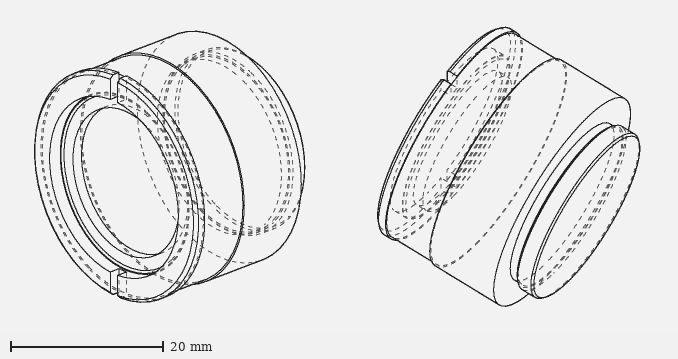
import cadquery as cq

length = 22.75
flange_depth = 1.6
barrel_front = 8.65
barrel_rear = 18.83
ring_front = 20.1

barrel_radius = 15.88
waist_radius = 15.62
neck_radius = 12.03
ring_radius = 12.57
flange_chamfer = 0.48
ring_chamfer = 0.3

bore_radius = 12.48
bore_depth = 1.9
seat_radius = 12.03
seat_lip_radius = 12.35
seat_depth = 2.15
recess_radius = 10.3
recess_depth = 3.68
cone_depth = 0.4

slot_width = 1.43


def turned_body():
    """Solid of revolution about Y, stepped outside and plain at the rear."""
    return (
        cq.Workplane("XY")
        .moveTo(0, 0)
        .lineTo(barrel_radius - flange_chamfer, 0)
        .lineTo(barrel_radius, flange_chamfer)
        .lineTo(barrel_radius, flange_depth)
        .lineTo(waist_radius, flange_depth)
        .lineTo(waist_radius, barrel_front)
        .lineTo(barrel_radius, barrel_front)
        .lineTo(barrel_radius, barrel_rear)
        .lineTo(neck_radius, barrel_rear)
        .lineTo(neck_radius, ring_front)
        .lineTo(ring_radius - ring_chamfer, ring_front)
        .lineTo(ring_radius, ring_front + ring_chamfer)
        .lineTo(ring_radius, length - ring_chamfer)
        .lineTo(ring_radius - ring_chamfer, length)
        .lineTo(0, length)
        .close()
        .revolve(360, (0, 0, 0), (0, 1, 0))
    )


def front_cavity():
    """Bore, conical lead-in and recess ending in a shallow cone."""
    return (
        cq.Workplane("XY")
        .moveTo(0, 0)
        .lineTo(bore_radius, 0)
        .lineTo(bore_radius, bore_depth)
        .lineTo(seat_lip_radius, bore_depth)
        .lineTo(seat_radius, seat_depth)
        .lineTo(recess_radius, seat_depth)
        .lineTo(recess_radius, recess_depth)
        .lineTo(0, recess_depth + cone_depth)
        .close()
        .revolve(360, (0, 0, 0), (0, 1, 0))
    )


def spanner_slots():
    """One bar across the full diameter, cutting both slots."""
    return cq.Workplane("XY").box(
        slot_width, flange_depth, 2 * barrel_radius, centered=(True, False, True)
    )


result = turned_body().cut(front_cavity()).cut(spanner_slots())